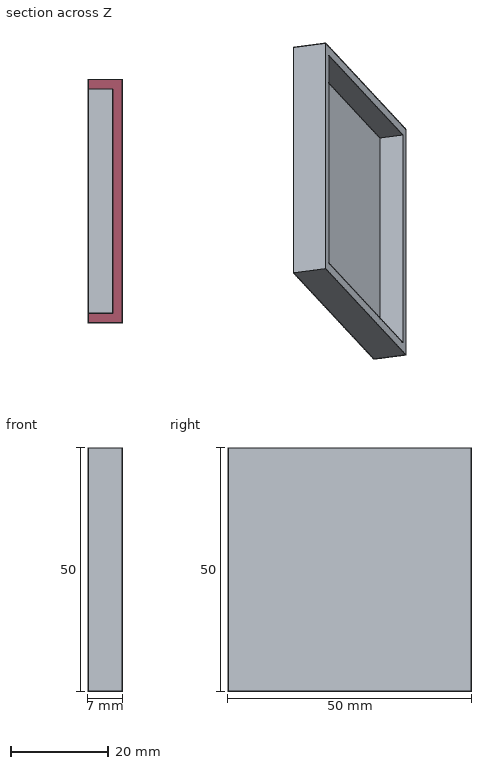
import cadquery as cq

side = 50.0
thickness = 7.0
wall = 2.0
floor = 2.0

pocket_side = side - 2 * wall
pocket_depth = thickness - floor

body = cq.Workplane("XY").box(thickness, side, side)

result = body.faces("<X").workplane().rect(pocket_side, pocket_side).cutBlind(-pocket_depth)